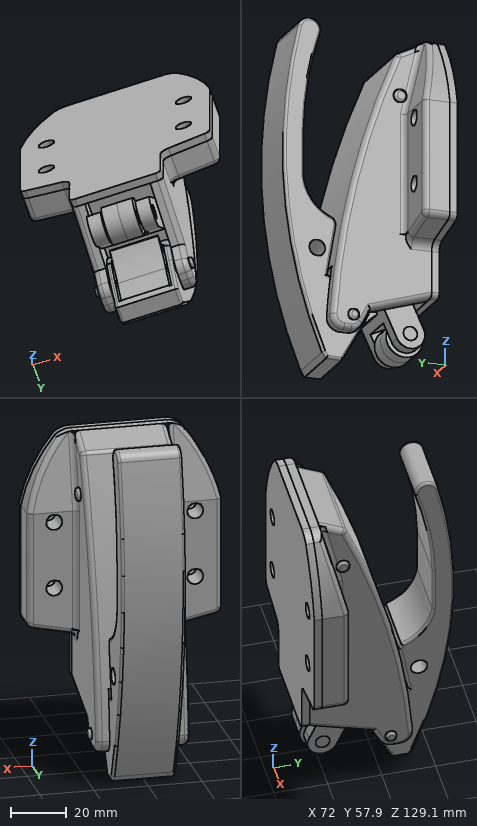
import cadquery as cq
import math


PLATE_THICKNESS = 3.0
FLANGE_FACE_Y = 13.0
HALF_WIDTH = 36.0
TOP_Z = 122.3
TOP_HALF_WIDTH = 17.5
SHOULDER = (23.5, 120.0)
BOW = (32.0, 106.4)
SIDE_END_Z = 50.4
STEP_Z = 46.4
PLATE_BOTTOM_Z = 25.9
SIDE_CORNER_RADIUS = 2.6
STEP_RADIUS = 3.7
BEVEL_START_Z = 94.1
BEVEL_TOP_Y = 6.5

MOUNT_HOLE_DIAMETER = 5.8
MOUNT_HOLE_X = 26.0
MOUNT_HOLE_ROWS_Z = (65.1, 90.3)

COLUMN_HALF_WIDTH = 17.3
HOUSING_ROUND = 2.0
COLUMN_CREST = (16.5, 117.4)
COLUMN_CREST_RADIUS = 2.6
COLUMN_FRONT_MIDDLE = (33.5, 67.0)
COLUMN_FRONT_END = (41.5, 15.2)
COLUMN_FOOT_Z = 10.2
COLUMN_FOOT_RADIUS = 5.0
COLUMN_HEEL = (26.2, 18.7)
COLUMN_FOOT_BACK_Y = 30.7
SLOT_HALF_WIDTH = 12.4
SLOT_TOP_Z = 34.8

PIN_HALF_LENGTH = 18.6
PIN_END_ROUND = 0.9
LEVER_PIN_CENTRE = (33.0, 15.7)
LEVER_PIN_DIAMETER = 4.1
UPPER_PIN_CENTRE = (15.2, 101.1)
UPPER_PIN_DIAMETER = 4.9

LEVER_HALF_WIDTH = 11.9
LEVER_ROUND = 1.0
LEVER_HOLE_CENTRE = (44.9, 41.5)
LEVER_HOLE_DIAMETER = 6.0
LEVER_FOOT_FRONT = (41.3, 0.0)
LEVER_FRONT_BOTTOM = (42.8, 2.3)
LEVER_FRONT_MIDDLE = (57.9, 77.4)
LEVER_FRONT_TOP = (52.0, 125.7)
LEVER_END = (48.4, 129.0)
LEVER_GRIP_TOP = (43.3, 124.2)
LEVER_GRIP_MIDDLE = (48.0, 105.5)
LEVER_GRIP_BOTTOM = (49.8, 86.4)
LEVER_THROAT_TOP = (49.8, 68.1)
LEVER_THROAT_MIDDLE = (47.0, 60.5)
LEVER_NOSE = (38.3, 53.6)
LEVER_NOSE_BOTTOM = (37.4, 51.6)
LEVER_HEEL = (40.9, 31.9)
LEVER_WALL = 3.9
POCKET_HALF_WIDTH = 9.9
POCKET_BOTTOM_Z = 2.3
POCKET_TOP_Z = 20.6
POCKET_FLOOR_BOTTOM_Y = 39.5
POCKET_FLOOR_TOP_Y = 45.1
LEVER_BACK_TIP = (35.1, 0.0)
LEVER_BACK_BEND = (28.1, 12.3)
LEVER_BACK_INNER = (24.9, 18.7)

INSERT_HALF_WIDTH = 9.2
INSERT_ARC_START = (29.7, 9.5)
INSERT_ARC_MIDDLE = (25.9, 15.2)
INSERT_ARC_END = (20.9, 19.9)

LINK_HALF_WIDTH = LEVER_HALF_WIDTH
LINK_RADIUS = 5.7
LINK_LENGTH = 15.5
LINK_TILT = 25.0
FORK_HALF_WIDTH = 6.6
FORK_DEPTH = 7.7
ROLLER_CENTRE = (9.2, 13.2)
ROLLER_RADIUS = 7.1
ROLLER_HALF_WIDTH = 5.9
AXLE_DIAMETER = 5.3


def side_profile(start):
    """A sketch in the YZ plane, starting at a (Y, Z) point."""
    return cq.Workplane("YZ").moveTo(*start)


def cross_rod(centre, diameter, half_length):
    """A round rod along X about a (Y, Z) centre, symmetric about X = 0."""
    return cq.Workplane("YZ").center(*centre).circle(diameter / 2).extrude(half_length, both=True)


def cross_box(half_width, y_range, z_range):
    """A box symmetric about X = 0 between two Y and two Z values."""
    corner = (-half_width, y_range[0], z_range[0])
    size = (2 * half_width, y_range[1] - y_range[0], z_range[1] - z_range[0])
    return cq.Workplane("XY").box(*size, centered=False).translate(corner)


def height_band(bottom_z, top_z):
    """A selector for whatever has its centre between two heights, at any X and Y."""
    margin = 0.1
    reach = 129
    return cq.selectors.BoxSelector(
        (-reach, -reach, bottom_z - margin), (reach, reach, top_z + margin)
    )


def outline_prism(bottom_z, y_start, y_end):
    """The bowed shield outline, narrowed to the column width below, extruded along Y."""
    shield = (
        cq.Workplane("XZ", origin=(0, y_start, 0))
        .moveTo(0, TOP_Z)
        .lineTo(TOP_HALF_WIDTH, TOP_Z)
        .tangentArcPoint(SHOULDER, relative=False)
        .threePointArc(BOW, (HALF_WIDTH, BEVEL_START_Z))
        .lineTo(HALF_WIDTH, SIDE_END_Z)
        .lineTo(COLUMN_HALF_WIDTH, STEP_Z)
        .lineTo(COLUMN_HALF_WIDTH, bottom_z)
        .lineTo(0, bottom_z)
        .mirrorY()
        .extrude(y_start - y_end)
    )
    upright = shield.edges("|Y")
    shield = upright.edges(height_band(SIDE_END_Z, SIDE_END_Z)).fillet(SIDE_CORNER_RADIUS)
    return shield.edges("|Y").edges(height_band(STEP_Z, STEP_Z)).fillet(STEP_RADIUS)


def drill_mount_holes(body):
    """Cut the four mounting holes through a body along Y."""
    points = [(x, z) for x in (-MOUNT_HOLE_X, MOUNT_HOLE_X) for z in MOUNT_HOLE_ROWS_Z]
    drills = cq.Workplane("XZ").pushPoints(points).circle(MOUNT_HOLE_DIAMETER / 2).extrude(-TOP_Z)
    return body.cut(drills)


def make_plate():
    """The flat base plate with rounded lower corners and the mounting holes."""
    plate = outline_prism(PLATE_BOTTOM_Z, 0, PLATE_THICKNESS)
    plate = plate.edges("|Y").edges("<Z").fillet(HOUSING_ROUND)
    return drill_mount_holes(plate)


def flange_front_y(z):
    """Y of the front of the flange at a height, on its flat face or on its bevel."""
    bevel_slope = (FLANGE_FACE_Y - BEVEL_TOP_Y) / (TOP_Z - BEVEL_START_Z)
    return FLANGE_FACE_Y - bevel_slope * max(0, z - BEVEL_START_Z)


def make_flange():
    """The wide part of the housing, bevelled towards the top, with its front rim rounded."""
    flange = outline_prism(STEP_Z - 2 * STEP_RADIUS, PLATE_THICKNESS, FLANGE_FACE_Y)
    bevel = (
        side_profile((FLANGE_FACE_Y, BEVEL_START_Z))
        .lineTo(BEVEL_TOP_Y, TOP_Z)
        .lineTo(FLANGE_FACE_Y, TOP_Z)
        .close()
        .extrude(HALF_WIDTH, both=True)
    )
    flange = flange.cut(bevel)
    margin = 0.03

    def is_rim(edge):
        middle = edge.positionAt(0.5)
        above_step = STEP_Z - STEP_RADIUS < middle.z < SHOULDER[1]
        outside = abs(middle.x) > COLUMN_HALF_WIDTH + margin
        return above_step and outside and abs(middle.y - flange_front_y(middle.z)) < margin

    rim = [edge for edge in flange.edges().vals() if is_rim(edge)]
    return flange.newObject(rim).fillet(HOUSING_ROUND)


def column_prism(half_width):
    """The side profile of the housing column, extruded to both sides of X = 0."""
    prism = (
        side_profile((PLATE_THICKNESS, PLATE_BOTTOM_Z))
        .lineTo(PLATE_THICKNESS, TOP_Z)
        .lineTo(BEVEL_TOP_Y, TOP_Z)
        .lineTo(*COLUMN_CREST)
        .threePointArc(COLUMN_FRONT_MIDDLE, COLUMN_FRONT_END)
        .lineTo(COLUMN_FRONT_END[0], COLUMN_FOOT_Z)
        .lineTo(COLUMN_FOOT_BACK_Y, COLUMN_FOOT_Z)
        .lineTo(*COLUMN_HEEL)
        .close()
        .extrude(half_width, both=True)
    )
    foot = height_band(COLUMN_FOOT_Z, COLUMN_FOOT_Z)
    crest = height_band(COLUMN_CREST[1], COLUMN_CREST[1])
    prism = prism.edges("|X").edges(foot).fillet(COLUMN_FOOT_RADIUS)
    return prism.edges("|X").edges(crest).fillet(COLUMN_CREST_RADIUS)


def make_column():
    """The narrow, deep part of the housing, with its side edges rounded."""
    column = column_prism(COLUMN_HALF_WIDTH)

    def is_front(edge):
        middle = edge.positionAt(0.5)
        return middle.y > PLATE_THICKNESS + 0.1 and middle.z < TOP_Z - 0.1

    rounded = [edge for edge in column.faces("<X or >X").edges().vals() if is_front(edge)]
    return column.newObject(rounded).fillet(HOUSING_ROUND)


def make_root_fillet(side):
    """The hollow fillet where the flange face and its bevel meet one side of the column."""
    x = side * COLUMN_HALF_WIDTH
    radius = HOUSING_ROUND
    start_z = STEP_Z + radius
    sag = radius * (1 - math.sqrt(0.5))
    path = (
        cq.Workplane("YZ", origin=(x, 0, 0))
        .moveTo(FLANGE_FACE_Y, start_z)
        .lineTo(FLANGE_FACE_Y, BEVEL_START_Z)
        .lineTo(BEVEL_TOP_Y, TOP_Z)
    )
    fillet = (
        cq.Workplane("XY", origin=(x, FLANGE_FACE_Y, start_z))
        .lineTo(side * radius, 0)
        .threePointArc((side * sag, sag), (0, radius))
        .close()
        .sweep(path, transition="right")
    )
    return fillet.intersect(column_prism(HALF_WIDTH))


def make_housing():
    """Column and flange with a slot for lever and link, mounting holes and pin bores."""
    housing = make_column().union(make_flange())
    for side in (-1, 1):
        housing = housing.union(make_root_fillet(side))
    slot_front_y = COLUMN_FRONT_END[0] + 1.3
    slot = cross_box(SLOT_HALF_WIDTH, (PLATE_THICKNESS, slot_front_y), (0, SLOT_TOP_Z))
    housing = drill_mount_holes(housing.cut(slot))
    for centre, diameter in (
        (LEVER_PIN_CENTRE, LEVER_PIN_DIAMETER),
        (UPPER_PIN_CENTRE, UPPER_PIN_DIAMETER),
    ):
        housing = housing.cut(cross_rod(centre, diameter, HALF_WIDTH))
    return housing


def make_pin(centre, diameter):
    """A pin with rounded ends that stands out on both sides of the housing."""
    pin = cross_rod(centre, diameter, PIN_HALF_LENGTH)
    return pin.faces("<X or >X").edges().fillet(PIN_END_ROUND)


def make_pocket():
    """The hollow of the lever, from its sloping floor out through the back of the lever."""
    return (
        side_profile((POCKET_FLOOR_BOTTOM_Y, POCKET_BOTTOM_Z))
        .lineTo(POCKET_FLOOR_TOP_Y, POCKET_TOP_Z)
        .lineTo(0, POCKET_TOP_Z)
        .lineTo(0, POCKET_BOTTOM_Z)
        .close()
        .extrude(POCKET_HALF_WIDTH, both=True)
    )


def lever_back_y(z):
    """Y of the straight lower back edge of the lever at a height."""
    slope = (LEVER_BACK_BEND[0] - LEVER_BACK_TIP[0]) / LEVER_BACK_BEND[1]
    return LEVER_BACK_TIP[0] + slope * z


def make_lever():
    """The curved handle, pocketed at its lower end, with a cross hole and the pin bore."""
    lever = (
        side_profile(LEVER_BACK_TIP)
        .lineTo(*LEVER_FOOT_FRONT)
        .lineTo(*LEVER_FRONT_BOTTOM)
        .threePointArc(LEVER_FRONT_MIDDLE, LEVER_FRONT_TOP)
        .threePointArc(LEVER_END, LEVER_GRIP_TOP)
        .threePointArc(LEVER_GRIP_MIDDLE, LEVER_GRIP_BOTTOM)
        .lineTo(*LEVER_THROAT_TOP)
        .threePointArc(LEVER_THROAT_MIDDLE, LEVER_NOSE)
        .lineTo(*LEVER_NOSE_BOTTOM)
        .lineTo(*LEVER_HEEL)
        .lineTo(LEVER_BACK_INNER[0], POCKET_TOP_Z + LEVER_WALL)
        .lineTo(*LEVER_BACK_INNER)
        .lineTo(*LEVER_BACK_BEND)
        .close()
        .extrude(LEVER_HALF_WIDTH, both=True)
    )
    lever = lever.faces("<X or >X").edges().fillet(LEVER_ROUND)
    lever = lever.cut(make_pocket())
    lever = lever.cut(cross_rod(LEVER_HOLE_CENTRE, LEVER_HOLE_DIAMETER, HALF_WIDTH))
    return lever.cut(cross_rod(LEVER_PIN_CENTRE, LEVER_PIN_DIAMETER, HALF_WIDTH))


def make_insert():
    """The block in the lever pocket, bulging out of its mouth in a hollow curve."""
    insert = (
        side_profile((POCKET_FLOOR_BOTTOM_Y, POCKET_BOTTOM_Z))
        .lineTo(POCKET_FLOOR_TOP_Y, POCKET_TOP_Z)
        .lineTo(INSERT_ARC_END[0], POCKET_TOP_Z)
        .lineTo(*INSERT_ARC_END)
        .threePointArc(INSERT_ARC_MIDDLE, INSERT_ARC_START)
        .lineTo(lever_back_y(POCKET_BOTTOM_Z), POCKET_BOTTOM_Z)
        .close()
        .extrude(INSERT_HALF_WIDTH, both=True)
    )
    return insert.cut(cross_rod(LEVER_PIN_CENTRE, LEVER_PIN_DIAMETER, HALF_WIDTH))


def on_link(body):
    """Turn a body built upright about the origin to the link tilt and move it to the roller."""
    return body.rotate((0, 0, 0), (1, 0, 0), -LINK_TILT).translate((0, *ROLLER_CENTRE))


def make_link():
    """The arm that carries the roller in a fork at its lower end."""
    arm = (
        side_profile((-LINK_RADIUS, 0))
        .threePointArc((0, -LINK_RADIUS), (LINK_RADIUS, 0))
        .lineTo(LINK_RADIUS, LINK_LENGTH)
        .threePointArc((0, LINK_LENGTH + LINK_RADIUS), (-LINK_RADIUS, LINK_LENGTH))
        .close()
        .extrude(LINK_HALF_WIDTH, both=True)
    )
    fork = cross_box(FORK_HALF_WIDTH, (-LINK_LENGTH, LINK_LENGTH), (-LINK_LENGTH, FORK_DEPTH))
    link = on_link(arm.cut(fork))
    return link.cut(cross_rod(ROLLER_CENTRE, AXLE_DIAMETER, HALF_WIDTH))


plate = make_plate()
housing = make_housing()
lever = make_lever()
insert = make_insert()
link = make_link()
axle = cross_rod(ROLLER_CENTRE, AXLE_DIAMETER, LINK_HALF_WIDTH)
roller = cross_rod(ROLLER_CENTRE, 2 * ROLLER_RADIUS, ROLLER_HALF_WIDTH).cut(axle)
pins = [
    make_pin(LEVER_PIN_CENTRE, LEVER_PIN_DIAMETER),
    make_pin(UPPER_PIN_CENTRE, UPPER_PIN_DIAMETER),
]

result = cq.Compound.makeCompound(
    [
        plate.val(),
        housing.val(),
        lever.val(),
        insert.val(),
        link.val(),
        axle.val(),
        roller.val(),
        *[pin.val() for pin in pins],
    ]
)